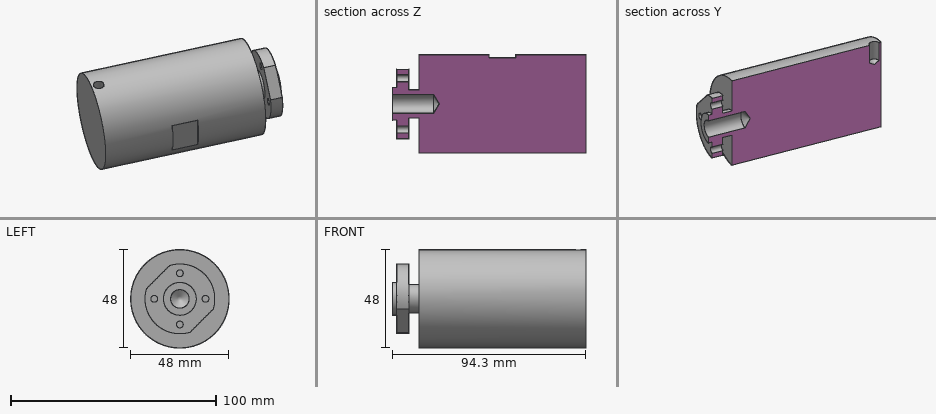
import cadquery as cq
import math

spigot_length = 2.0
flange_thickness = 6.0
neck_length = 4.8
body_length = 81.5

spigot_diameter = 16.0
flange_diameter = 34.0
neck_diameter = 14.0
body_diameter = 48.0

flange_across_flats = 30.0
flat_angle = 45.0

flange_hole_diameter = 3.3
flange_hole_circle_diameter = 25.0
flange_hole_count = 4

drill_point_angle = 118.0
center_bore_diameter = 9.0
center_bore_depth = 20.0
radial_hole_diameter = 5.0
radial_hole_depth = 10.0
radial_hole_from_end = 3.75

notch_width = 13.0
notch_depth = 1.5
notch_from_body_front = 34.2

flange_start = spigot_length
neck_start = flange_start + flange_thickness
body_start = neck_start + neck_length
body_end = body_start + body_length
body_radius = body_diameter / 2


def shaft_step(diameter, start, length):
    """Cylinder on the X axis."""
    return cq.Workplane("YZ", origin=(start, 0, 0)).circle(diameter / 2).extrude(length)


def make_flange():
    """Round flange trimmed by two parallel flats and drilled with a ring of holes."""
    disc = shaft_step(flange_diameter, flange_start, flange_thickness)
    flats_envelope = (
        cq.Workplane("YZ", origin=(flange_start, 0, 0))
        .transformed(rotate=(0, 0, flat_angle))
        .rect(flange_across_flats, flange_diameter)
        .extrude(flange_thickness)
    )
    holes = (
        cq.Workplane("YZ", origin=(flange_start, 0, 0))
        .polarArray(flange_hole_circle_diameter / 2, 0, 360, flange_hole_count)
        .circle(flange_hole_diameter / 2)
        .extrude(flange_thickness)
    )
    return disc.intersect(flats_envelope).cut(holes)


def drilled_hole(diameter, depth):
    """Drill-shaped cutter entering at the origin and pointing along -Z."""
    radius = diameter / 2
    point_length = radius / math.tan(math.radians(drill_point_angle / 2))
    return (
        cq.Workplane("XZ")
        .moveTo(0, 0)
        .lineTo(radius, 0)
        .lineTo(radius, -depth)
        .lineTo(0, -depth - point_length)
        .close()
        .revolve(360, (0, 0), (0, 1))
    )


def make_center_bore():
    """Blind bore on the X axis, entering through the spigot."""
    return drilled_hole(center_bore_diameter, center_bore_depth).rotate((0, 0, 0), (0, 1, 0), -90)


def make_radial_hole():
    """Blind hole entering the top of the body near its +X end."""
    cutter = drilled_hole(radial_hole_diameter, radial_hole_depth)
    return cutter.translate((body_end - radial_hole_from_end, 0, body_radius))


def make_notch():
    """Box that mills the notch across the full height of the +Y side."""
    return cq.Workplane("XY").box(
        notch_width, notch_depth, body_diameter, centered=(False, False, True)
    ).translate((body_start + notch_from_body_front, body_radius - notch_depth, 0))


result = (
    shaft_step(body_diameter, body_start, body_length)
    .union(shaft_step(neck_diameter, neck_start, neck_length))
    .union(make_flange())
    .union(shaft_step(spigot_diameter, 0, spigot_length))
    .cut(make_center_bore())
    .cut(make_radial_hole())
    .cut(make_notch())
)